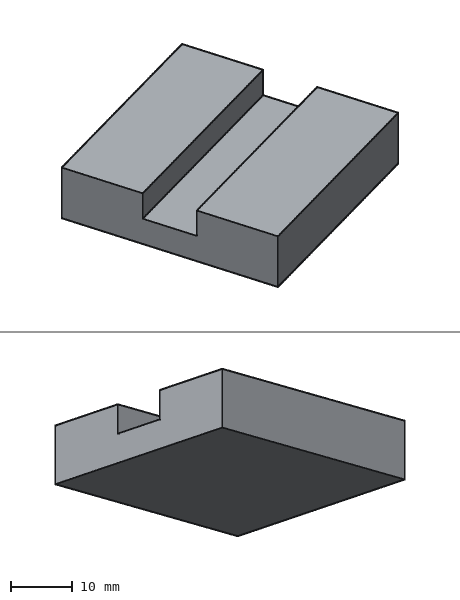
import cadquery as cq

side_length = 40.0
block_height = 10.0

channel_width = 10.0
channel_depth = 5.0


def make_block():
    """Block centred on X and Y, standing on Z = 0."""
    return cq.Workplane("XY").box(
        side_length, side_length, block_height, centered=(True, True, False)
    )


def cut_channel(block):
    """Cut the channel down from the top face along the full Y length."""
    return (
        block.faces(">Z")
        .workplane()
        .rect(channel_width, side_length)
        .cutBlind(-channel_depth)
    )


result = cut_channel(make_block())